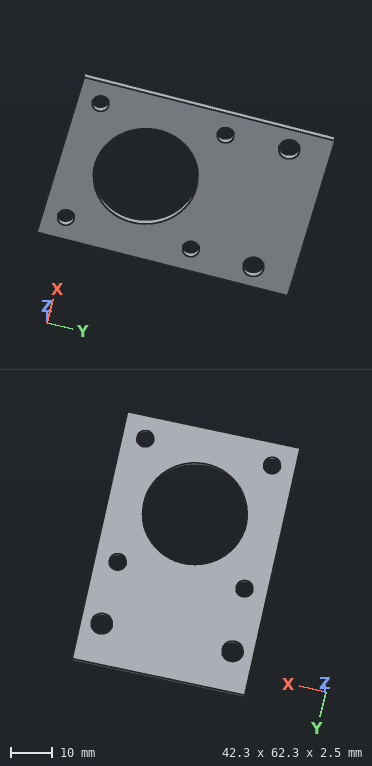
import cadquery as cq

width = 42.3
length = 62.3
thickness = 2.5

opening_diameter = 25.0
opening_y = -length / 2 + width / 2

screw_diameter = 4.0
screw_spacing = 31.0

mount_diameter = 5.0
mount_spacing = 32.0
mount_edge_distance = 9.95
mount_y = length / 2 - mount_edge_distance

plate = cq.Workplane("XY").box(width, length, thickness, centered=(True, True, False))

plate = plate.faces(">Z").workplane(origin=(0, opening_y, 0)).hole(opening_diameter)

plate = (
    plate.faces(">Z")
    .workplane(origin=(0, opening_y, 0))
    .rarray(screw_spacing, screw_spacing, 2, 2)
    .hole(screw_diameter)
)

result = (
    plate.faces(">Z")
    .workplane(origin=(0, mount_y, 0))
    .pushPoints([(-mount_spacing / 2, 0), (mount_spacing / 2, 0)])
    .hole(mount_diameter)
)